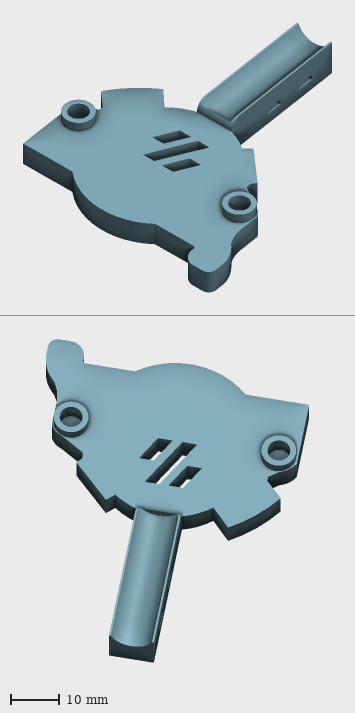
import cadquery as cq
import math

plate_height = 5.7
boss_height = 8.0
arm_height = 8.55

disc_radius = 18.0
disc_top = 18.3
left_edge = -25.8
left_bottom = -13.0
right_bottom = -14.2
right_edge = 25.65
foot_edge = 29.75
foot_bottom = -18.8

boss_offset = 21.8
boss_diameter = 7.2
boss_hole_diameter = 4.7
boss_hole_depth = 3.95

arm_width = 9.4
arm_front = 17.65
arm_end = 49.55
arm_nose_radius = arm_height - plate_height
trough_start = 18.25
trough_radius = 4.6
trough_axis_height = 10.1

slot_length = 4.1
slot_height = 1.45
slot_bottom = 2.5
slot_centres = (31.2, 41.15)

window_width = 3.1
window_bottom = 0.4
window_middle = 5.75
window_top = 11.0
window_slant = math.radians(29.3)


def disc_point_at_height(y, side):
    """Point on the disc's edge at height y; side is -1 for left, 1 for right."""
    return (side * math.sqrt(disc_radius**2 - y**2), y)


def make_plate():
    outline = (
        cq.Workplane("XY")
        .moveTo(left_edge, left_bottom)
        .lineTo(*disc_point_at_height(left_bottom, -1))
        .threePointArc((0, -disc_radius), disc_point_at_height(right_bottom, 1))
        .lineTo(21.4, right_bottom)
        .threePointArc((21.8, -14.4), (22.0, -15.05))
        .threePointArc((22.75, -17.6), (24.9, foot_bottom))
        .lineTo(27.75, foot_bottom)
        .threePointArc((29.2, -18.2), (foot_edge, -16.8))
        .lineTo(foot_edge, -14.35)
        .threePointArc((28.9, -11.4), (27.0, -8.8))
        .threePointArc((26.0, -6.55), (right_edge, -4.0))
        .lineTo(right_edge, 1.15)
        .threePointArc((24.8, 2.4), (23.3, 3.35))
        .lineTo(18.8, 6.15)
        .threePointArc((18.3, 6.5), (18.05, 7.0))
        .lineTo(18.05, 7.9)
        .lineTo(19.0, 9.1)
        .lineTo(11.4, 16.7)
        .lineTo(*disc_point_at_height(15.1, 1))
        .threePointArc((0, disc_top), disc_point_at_height(14.4, -1))
        .lineTo(-14.55, 18.5)
        .threePointArc((-19.75, 14.55), (-24.0, 9.7))
        .lineTo(-20.5, 6.2)
        .lineTo(-20.5, 5.25)
        .lineTo(-22.6, 3.7)
        .threePointArc((-24.6, 2.6), (left_edge, 1.15))
        .close()
    )
    return outline.extrude(plate_height)


def make_arm():
    arm = (
        cq.Workplane("XY")
        .box(arm_width, arm_end, arm_height, centered=(True, False, False))
    )
    nose = (
        cq.Workplane("YZ")
        .moveTo(0, plate_height)
        .lineTo(arm_front, plate_height)
        .radiusArc((arm_front + arm_nose_radius, arm_height), arm_nose_radius)
        .lineTo(0, arm_height)
        .close()
        .extrude(arm_width, both=True)
    )
    trough = (
        cq.Workplane("XZ", origin=(0, trough_start, trough_axis_height))
        .circle(trough_radius)
        .extrude(trough_start - arm_end)
    )
    arm = arm.cut(nose).cut(trough)
    for y in slot_centres:
        slot = (
            cq.Workplane("XY", origin=(0, y, slot_bottom))
            .box(arm_width, slot_length, slot_height, centered=(True, True, False))
        )
        arm = arm.cut(slot)
    return arm


def make_window(left, bottom, top):
    """Slanted window whose lower left corner is at (left, bottom)."""
    shift = (top - bottom) * math.tan(window_slant)
    corners = [
        (left, bottom),
        (left + window_width, bottom),
        (left + window_width + shift, top),
        (left + shift, top),
    ]
    return cq.Workplane("XY").polyline(corners).close().extrude(plate_height)


result = make_plate().union(make_arm())

boss_centres = [(-boss_offset, 0), (boss_offset, 0)]
bosses = (
    cq.Workplane("XY", origin=(0, 0, plate_height))
    .pushPoints(boss_centres)
    .circle(boss_diameter / 2)
    .extrude(boss_height - plate_height)
)
boss_holes = (
    cq.Workplane("XY", origin=(0, 0, boss_height))
    .pushPoints(boss_centres)
    .circle(boss_hole_diameter / 2)
    .extrude(-boss_hole_depth)
)
result = result.union(bosses).cut(boss_holes)

windows = [
    (-6.7, window_middle, window_top),
    (-4.7, window_bottom, window_top),
    (0.4, window_bottom, window_middle),
]
for left, bottom, top in windows:
    result = result.cut(make_window(left, bottom, top))